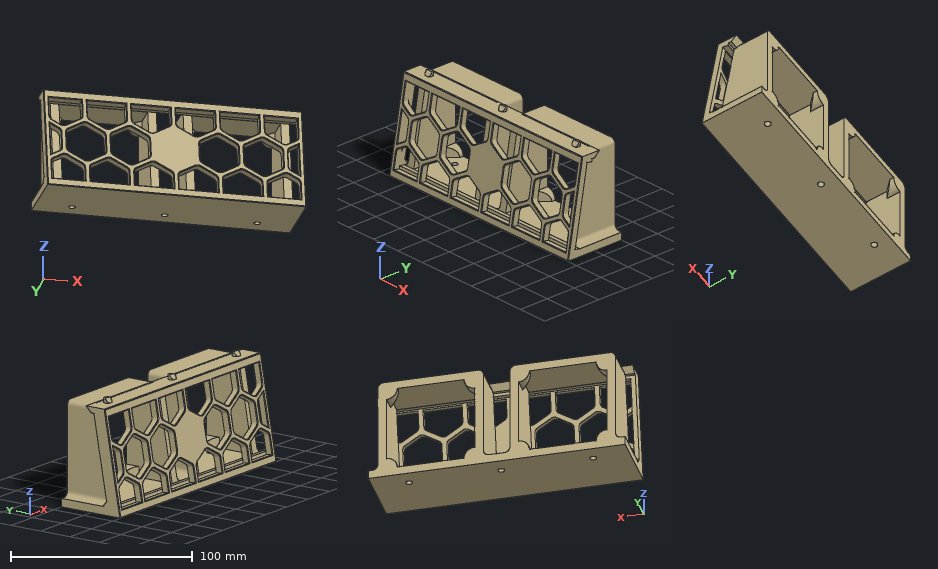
import cadquery as cq
import math

width = 146.0
depth = 40.1
frame_height = 60.5
tilt = math.radians(10)
frame_thickness = 7.9
edge_chamfer = 0.5

base_thickness = 5.0
duct_size = 60.0
duct_wall = 5.0
duct_offset = 37.5
duct_round = 3.2
opening_size = duct_size - 2 * duct_wall
opening_middle = duct_size / 2
opening_half = opening_size / 2

overhang_back = 23.4
overhang_drop = 3.5
gusset_rise = 3.2
gusset_run = 2.5

grille_thickness = 4.4
cell_pitch = 25.03
strut_width = 2.9
cell_round = 2.9
side_rail = 2.8
bottom_rail = 4.5
top_rail = 4.8
ridge_rise = 1.9
recess_rise = 0.9
grille_middle = 29.9

boss_radius = 6.1
boss_length = 8.8

pin_diameter = 4.7
pin_height = 2.6
pin_spacing = 60.0
pin_y = 18.0
pin_toe = 0.5
pin_slope = math.radians(40)
pin_round = 0.5
hole_diameter = 3.6
hole_y = 30.0
hole_spacing = 52.3

window_half = width / 2 - side_rail
cell_width = cell_pitch - strut_width
slope_length = frame_height / math.cos(tilt)
front_plane = cq.Plane(
    origin=(0, 0, 0), xDir=(1, 0, 0), normal=(0, -math.cos(tilt), math.sin(tilt))
)
along_normal = cq.selectors.ParallelDirSelector(front_plane.zDir)


def front_y(z):
    """Y of the leaning front face at height z."""
    return z * math.tan(tilt)


def back_y(z):
    """Y of the frame's back face at height z."""
    return front_y(z) + frame_thickness / math.cos(tilt)


def block(x_min, x_max, y_min, y_max, z_min, z_max):
    """Box given by its limits."""
    return cq.Workplane("XY").box(
        x_max - x_min, y_max - y_min, z_max - z_min, centered=False
    ).translate((x_min, y_min, z_min))


def slope_window(left, right, low, high, start, length):
    """Block square to the front face, starting at a depth behind it; low and high run up the slope."""
    return (
        cq.Workplane(front_plane)
        .workplane(offset=-start)
        .center((left + right) / 2, (low + high) / 2)
        .rect(right - left, high - low)
        .extrude(-length)
    )


def round_cell(outline):
    """Grille-deep prism of an outline with all its corners rounded."""
    return outline.extrude(-grille_thickness).edges(along_normal).fillet(cell_round)


def hex_cell(x, up_slope):
    """Hexagonal cell with a corner pointing up the slope."""
    return round_cell(
        cq.Workplane(front_plane)
        .center(x, up_slope)
        .transformed(rotate=(0, 0, 90))
        .polygon(6, cell_width / math.cos(math.pi / 6))
    )


def outer_cell(x, up_slope, direction):
    """Half-hexagon cell running straight on past the top (1) or bottom (-1) rail."""
    left = max(x - cell_width / 2, -window_half)
    right = min(x + cell_width / 2, window_half)
    shoulder_rise = math.tan(math.pi / 6)
    apex = cell_width / math.sqrt(3)
    left_shoulder = apex - (x - left) * shoulder_rise
    right_shoulder = apex - (right - x) * shoulder_rise
    return round_cell(
        cq.Workplane(front_plane)
        .moveTo(left, up_slope + direction * cell_pitch)
        .lineTo(left, up_slope - direction * left_shoulder)
        .lineTo(x, up_slope - direction * apex)
        .lineTo(right, up_slope - direction * right_shoulder)
        .lineTo(right, up_slope + direction * cell_pitch)
        .close()
    )


def make_grille_openings():
    """Three staggered rows of cells, trimmed to the rails; the centre cell stays solid."""
    row_pitch = cell_pitch * math.sqrt(3) / 2
    openings = cq.Workplane(front_plane)
    for column in (-3, -2, -1, 1, 2, 3):
        openings = openings.add(hex_cell(column * cell_pitch, grille_middle))
    for column in range(-3, 3):
        x = (column + 0.5) * cell_pitch
        for direction in (-1, 1):
            openings = openings.add(outer_cell(x, grille_middle + direction * row_pitch, direction))
    window = slope_window(
        -window_half, window_half, bottom_rail, slope_length - top_rail, 0, grille_thickness
    )
    return openings.combine().intersect(window)


def make_frame():
    """Leaning frame with its overhang, foot gusset, grille and a recess open to +X."""
    overhang_z = frame_height - overhang_drop
    gusset_z = base_thickness + gusset_rise
    gusset_back = back_y(gusset_z) + gusset_run
    frame = (
        cq.Workplane("YZ")
        .moveTo(0, 0)
        .lineTo(front_y(frame_height), frame_height)
        .lineTo(overhang_back, frame_height)
        .lineTo(overhang_back - overhang_drop, overhang_z)
        .lineTo(back_y(overhang_z), overhang_z)
        .lineTo(back_y(gusset_z), gusset_z)
        .lineTo(gusset_back, base_thickness)
        .lineTo(gusset_back, 0)
        .close()
        .extrude(width / 2, both=True)
    )
    recess = slope_window(
        -window_half,
        width / 2,
        bottom_rail + ridge_rise,
        slope_length - top_rail + recess_rise,
        grille_thickness,
        2 * frame_thickness,
    )
    frame = frame.cut(recess).cut(make_grille_openings())
    front_face = frame.faces(cq.selectors.DirectionMinMaxSelector(front_plane.zDir, True))
    return front_face.edges().chamfer(edge_chamfer)


def make_duct_body(x):
    """Solid duct with rounded top corners and flared feet."""
    half = duct_size / 2
    flare_top = base_thickness + duct_round
    round_start = duct_size - duct_round
    arc_bulge = duct_round * (1 - math.sqrt(0.5))
    right_half = (
        cq.Workplane("XZ", origin=(0, depth, 0))
        .lineTo(half + duct_round, 0)
        .lineTo(half + duct_round, base_thickness)
        .threePointArc((half + arc_bulge, base_thickness + arc_bulge), (half, flare_top))
        .lineTo(half, round_start)
        .threePointArc((half - arc_bulge, duct_size - arc_bulge), (half - duct_round, duct_size))
        .lineTo(0, duct_size)
        .close()
        .extrude(depth)
    )
    return right_half.union(right_half.mirror("YZ")).translate((x, 0, 0))


def behind_frame():
    """Everything behind the frame's back face."""
    return (
        cq.Workplane("YZ")
        .moveTo(back_y(0), 0)
        .lineTo(depth, 0)
        .lineTo(depth, frame_height)
        .lineTo(back_y(frame_height), frame_height)
        .close()
        .extrude(width / 2, both=True)
    )


def make_bosses(x):
    """Quarter-round bosses in the duct corners, their ends sloping back from the side walls."""
    wedge = (
        cq.Workplane("XY")
        .moveTo(-opening_half, depth)
        .lineTo(-opening_half, depth - boss_length)
        .lineTo(-opening_half + boss_length, depth)
        .close()
        .extrude(frame_height)
    )
    wedges = wedge.union(wedge.mirror("YZ")).translate((x, 0, 0))
    rounds = (
        cq.Workplane("XZ", origin=(x, depth, opening_middle))
        .rect(opening_size, opening_size, forConstruction=True)
        .vertices()
        .circle(boss_radius)
        .extrude(boss_length)
    )
    return rounds.intersect(wedges)


def make_pin(x):
    """Round pin on the frame's top, with a sloped front."""
    radius = pin_diameter / 2
    pin = (
        cq.Workplane("XY", origin=(x, pin_y, frame_height))
        .circle(radius)
        .extrude(pin_height)
        .faces(">Z")
        .edges()
        .fillet(pin_round)
    )
    front = pin_y - radius
    toe = front + pin_toe
    head = toe + pin_height * math.tan(pin_slope)
    slope = (
        cq.Workplane("YZ", origin=(x, 0, frame_height))
        .polyline([(front, 0), (toe, 0), (head, pin_height), (front, pin_height)])
        .close()
        .extrude(radius, both=True)
    )
    return pin.cut(slope)


def make_passage(x):
    """Square air passage through a duct, from the frame's back face to the rear."""
    return block(
        x - opening_half,
        x + opening_half,
        0,
        depth,
        opening_middle - opening_half,
        opening_middle + opening_half,
    ).intersect(behind_frame())


def make_holes():
    """Screw holes through the base: one between the ducts and one in each duct."""
    return (
        cq.Workplane("XY")
        .pushPoints([(-hole_spacing, hole_y), (0, hole_y), (hole_spacing, hole_y)])
        .circle(hole_diameter / 2)
        .extrude(base_thickness)
    )


duct_centres = (-duct_offset, duct_offset)

rear = block(-width / 2, width / 2, 0, depth, 0, base_thickness)
for duct_x in duct_centres:
    rear = rear.union(make_duct_body(duct_x))
result = make_frame().union(rear.intersect(behind_frame()))

for duct_x in duct_centres:
    passage = make_passage(duct_x)
    bosses = make_bosses(duct_x).intersect(passage)
    result = result.cut(passage).union(bosses)

for pin_x in (-pin_spacing, 0, pin_spacing):
    result = result.union(make_pin(pin_x))

result = result.cut(make_holes())